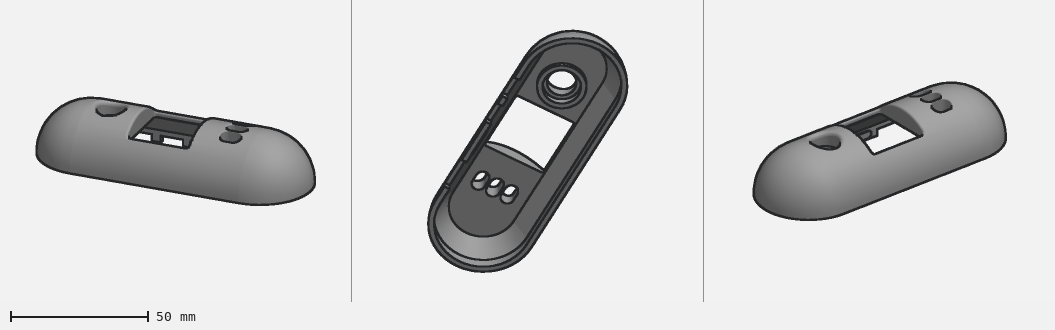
import cadquery as cq
import math

length = 106.5
radius = 20.0
straight = length - 2 * radius

ceiling = 12.6
ceiling_width = 25.1
cavity_width = 35.8
side_wall_height = 4.9

window_x = -1.6
window_length = 24.0
window_width = 24.5
window_corner = 1.0
window_round = 1.0

button_x = -25.5
button_diameter = 10.6
button_round = 1.5
bore_diameter = 14.0
bore_top = 14.0
collar_wall = 2.0
collar_bottom = 10.9

slot_x = 24.2
row_y = 0.2
slot_length = 8.0
slot_width = 5.0
slot_pitch = 6.0
slot_count = 3
slot_round = 0.4

notch_height = 2.7
notch_spans = [(-26.1, -17.1), (-13.5, -4.8), (13.4, 26.2)]

pad_x = (notch_spans[1][1] + notch_spans[2][0]) / 2
pad_length = 12.1
pad_height = 3.2
pad_z = 2.0
pad_thickness = 0.4


def make_body():
    """Half capsule: an arc-ended profile turned half a revolution about X."""
    half = straight / 2
    nose = radius * math.sqrt(0.5)
    return (
        cq.Workplane("XY")
        .moveTo(-length / 2, 0)
        .threePointArc((-half - nose, -nose), (-half, -radius))
        .lineTo(half, -radius)
        .threePointArc((half + nose, -nose), (length / 2, 0))
        .close()
        .revolve(180, (0, 0, 0), (-1, 0, 0))
    )


def at_base(x, y=0):
    """Workplane on Z = 0 centred on a feature."""
    return cq.Workplane("XY").center(x, y)


def cut_from_top(body, cutter, rim_round):
    """Cut an upright opening through the body and round its upper rim."""
    opened = body.cut(cutter)
    box = cutter.val().BoundingBox()
    margin = 0.1
    around_rim = cq.selectors.BoxSelector(
        (box.xmin - margin, box.ymin - margin, ceiling),
        (box.xmax + margin, box.ymax + margin, radius + margin),
        boundingbox=True,
    )
    rim_edges = [edge for edge in opened.edges(around_rim).vals() if edge.BoundingBox().zmin > ceiling]
    return opened.newObject(rim_edges).fillet(rim_round)


def make_cavity():
    """Round-ended hollow: upright walls, then walls leaning in to a flat ceiling."""
    slope_height = ceiling - side_wall_height
    slope_inset = (cavity_width - ceiling_width) / 2
    lean = math.degrees(math.atan2(slope_inset, slope_height))
    cavity_length = straight + cavity_width
    lower = cq.Workplane("XY").slot2D(cavity_length, cavity_width).extrude(side_wall_height)
    upper = (
        cq.Workplane("XY")
        .workplane(offset=side_wall_height)
        .slot2D(cavity_length, cavity_width)
        .extrude(slope_height, taper=lean)
    )
    return lower.union(upper)


def make_collar():
    """Solid disc under the button hole, later bored out."""
    outer_radius = bore_diameter / 2 + collar_wall
    return (
        at_base(button_x)
        .workplane(offset=collar_bottom)
        .circle(outer_radius)
        .extrude(ceiling - collar_bottom)
    )


def make_notch(start, end):
    """Block through the foot of the +Y wall."""
    inner_y = cavity_width / 4
    return (
        cq.Workplane("XY")
        .box(end - start, radius, notch_height, centered=False)
        .translate((start, inner_y, 0))
    )


def make_pad():
    """Round-ended pad standing off the inner face of the +Y wall."""
    inner_face = cavity_width / 2
    return (
        cq.Workplane("XZ", origin=(pad_x, inner_face, pad_z))
        .slot2D(pad_length, pad_height)
        .extrude(pad_thickness)
    )


result = make_body()

window = (
    at_base(window_x)
    .rect(window_length, window_width)
    .extrude(radius)
    .edges("|Z")
    .fillet(window_corner)
)
result = cut_from_top(result, window, window_round)

button_hole = at_base(button_x).circle(button_diameter / 2).extrude(radius)
result = cut_from_top(result, button_hole, button_round)

for index in range(slot_count):
    slot_y = row_y + (index - (slot_count - 1) / 2) * slot_pitch
    slot = at_base(slot_x, slot_y).slot2D(slot_length, slot_width).extrude(radius)
    result = cut_from_top(result, slot, slot_round)

result = result.cut(make_cavity().cut(make_collar()))
result = result.cut(at_base(button_x).circle(bore_diameter / 2).extrude(bore_top))

for start, end in notch_spans:
    result = result.cut(make_notch(start, end))
result = result.union(make_pad())